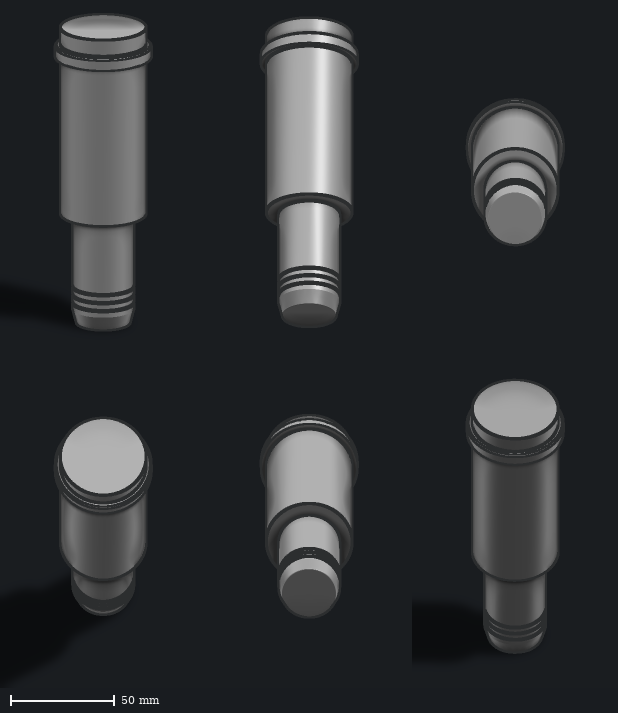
import cadquery as cq

total_length = 150.0
head_radius = 21.0
collar_diameter = 47.0
collar_radius = collar_diameter / 2
shank_radius = 15.0
tip_radius = 13.2

collar_top = 141.0
collar_bottom = 135.0
body_bottom = 55.0
nose_height = 7.0

edge_chamfer = 0.5
collar_chamfer = 0.9
relief_width = 0.9
relief_depth = 0.5
shank_neck_depth = 0.3
tip_round = 0.5

groove_count = 3
groove_pitch = 4.0
groove_width = 1.2
groove_depth = 0.5
lowest_groove = 9.9


def cylinder(radius, bottom, top):
    return cq.Workplane("XY").workplane(offset=bottom).circle(radius).extrude(top - bottom)


def ring_cut(radius, depth, bottom, width):
    """Ring of symmetric V section that cuts a groove into a cylinder of the given radius."""
    outer_radius = radius + depth
    middle = bottom + width / 2
    return (
        cq.Workplane("XZ")
        .moveTo(radius - depth, middle)
        .lineTo(radius, bottom)
        .lineTo(outer_radius, bottom)
        .lineTo(outer_radius, bottom + width)
        .lineTo(radius, bottom + width)
        .close()
        .revolve(360, (0, 0, 0), (0, 1, 0))
    )


def make_shank():
    """Cylindrical shank with a tapered nose, ring grooves and a narrower neck under the body."""
    neck_bottom = body_bottom - relief_width
    nose = (
        cq.Workplane("XY")
        .circle(tip_radius)
        .workplane(offset=nose_height)
        .circle(shank_radius)
        .loft(ruled=True)
        .faces("<Z")
        .edges()
        .fillet(tip_round)
    )
    shank = nose.union(cylinder(shank_radius, nose_height, neck_bottom))
    for index in range(groove_count):
        groove_bottom = lowest_groove + index * groove_pitch
        shank = shank.cut(ring_cut(shank_radius, groove_depth, groove_bottom, groove_width))
    return shank.union(cylinder(shank_radius - shank_neck_depth, neck_bottom, body_bottom))


def make_body():
    """Large cylinder with V-shaped reliefs on both sides of the collar."""
    body = cylinder(head_radius, body_bottom, total_length)
    body = body.faces("<Z or >Z").edges().chamfer(edge_chamfer)
    for relief_bottom in (collar_bottom - relief_width, collar_top):
        body = body.cut(ring_cut(head_radius, relief_depth, relief_bottom, relief_width))
    return body


def make_collar():
    collar = cylinder(collar_radius, collar_bottom, collar_top)
    return collar.faces(">Z").edges().chamfer(collar_chamfer)


result = make_body().union(make_collar()).union(make_shank())